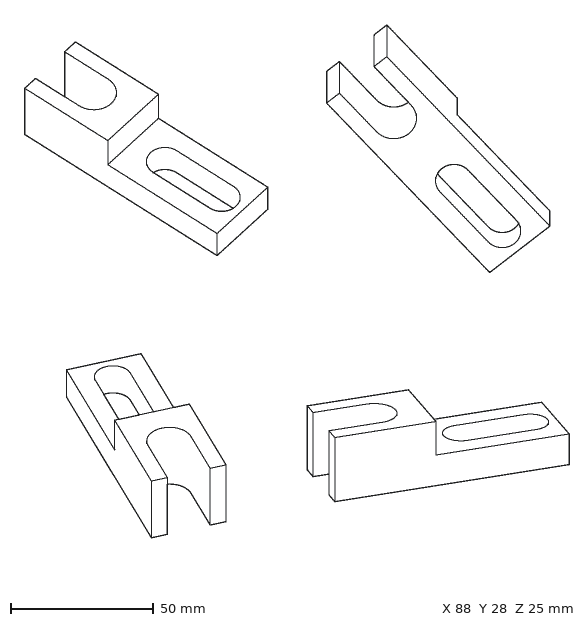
import cadquery as cq

length = 88.0
width = 28.0
height = 25.0

head_length = 38.0
tail_height = 12.0

fork_width = 16.0
fork_depth = 28.0

slot_width = 13.0
slot_length = 39.0
slot_end_wall = 3.0


def stepped_body():
    """Tail-height bar along the full length with the taller head on the -X end."""
    bar = cq.Workplane("XY").box(length, width, tail_height, centered=(False, True, False))
    head = cq.Workplane("XY").box(head_length, width, height, centered=(False, True, False))
    return bar.union(head)


def fork_cutter():
    """U-shaped opening from the -X face, closed by a half round."""
    radius = fork_width / 2
    straight_end = fork_depth - radius
    return (
        cq.Workplane("XY")
        .moveTo(0, -radius)
        .lineTo(straight_end, -radius)
        .threePointArc((fork_depth, 0), (straight_end, radius))
        .lineTo(0, radius)
        .close()
        .extrude(height)
    )


def tail_slot_cutter():
    """Round-ended slot along X near the +X face."""
    center_x = length - slot_end_wall - slot_length / 2
    return (
        cq.Workplane("XY")
        .center(center_x, 0)
        .slot2D(slot_length, slot_width)
        .extrude(tail_height)
    )


result = stepped_body().cut(fork_cutter()).cut(tail_slot_cutter())